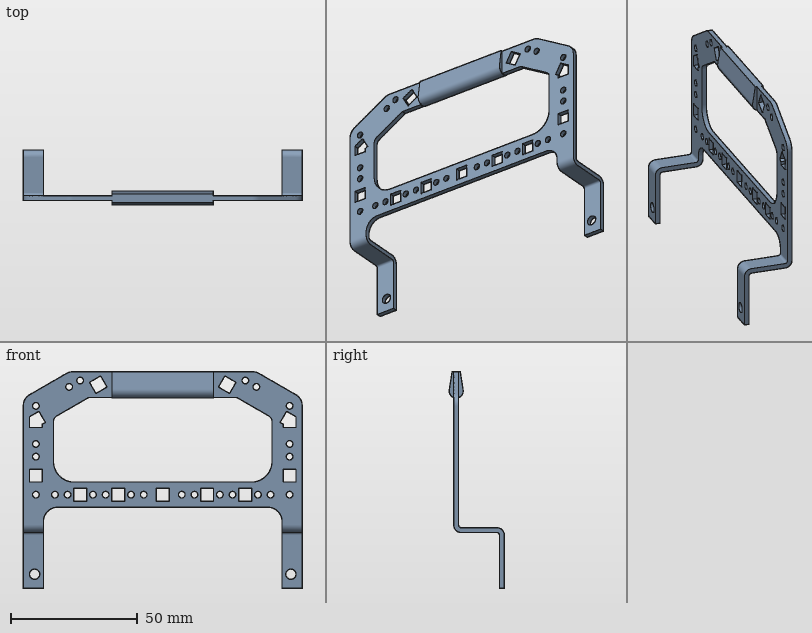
import cadquery as cq
import math

width = 110.0
height = 85.5
pitch = width / 22
half_width = width / 2
sheet = 2.0
depth = 4 * pitch
slope = math.radians(30)

outer_radius = pitch
top_half_width = 36.7
slant_drop = (half_width - top_half_width) * math.tan(slope)
leg_width = 8.0
leg_corner_radius = 5.5
row_height = 37.0
beam_half_height = pitch

shelf_bottom = 22.0
inner_bend = 1.0
outer_bend = inner_bend + sheet

window_half_width = 43.0
top_bar_height = 10.2
window_top = height - top_bar_height
window_bottom = row_height + beam_half_height
window_top_half_width = 29.2
window_slant_drop = (window_half_width - window_top_half_width) * math.tan(slope)
window_bottom_radius = 8.0
window_shoulder_radius = 2.5

column_x = 10 * pitch
small_hole = 2.5
square = pitch
row_hole_steps = [1.5, 2.5, 4.5, 5.5, 7.5, 8.5, 10]
row_square_steps = [0, 3.5, 6.5]
column_hole_steps = [3, 4, 7]
column_square_step = 1.5
slant_hole_count = 2
slant_hole_x = 32.6
slant_hole_z = height - 3.5
slant_square_x = 25.4
slant_square_z = height - 5.2

shoulder_bottom = row_height + 26.5
shoulder_step = 2.0
shoulder_tip_x = 46.3
shoulder_tip_z = shoulder_bottom + shoulder_step

foot_hole = 4.0
foot_hole_x = 50.5
foot_hole_z = 5.6

grip_length = 8 * pitch
grip_top_half = 1.6
grip_width = 5.6
grip_radius = grip_width / 2
grip_height = 10.5


def rounded_outline(plane, corners):
    """Closed outline from (u, v, radius) corners; a radius of 0 keeps the corner sharp."""
    path = None
    for i, (u, v, radius) in enumerate(corners):
        corner = cq.Vector(u, v)
        to_last = (cq.Vector(*corners[i - 1][:2]) - corner).normalized()
        to_next = (cq.Vector(*corners[(i + 1) % len(corners)][:2]) - corner).normalized()
        half_angle = to_last.getAngle(to_next) / 2
        setback = radius / math.tan(half_angle)
        start = corner + to_last * setback
        path = path.lineTo(start.x, start.y) if path else cq.Workplane(plane).moveTo(start.x, start.y)
        if radius:
            end = corner + to_next * setback
            inward = (to_last + to_next).normalized()
            middle = corner + inward * (radius / math.sin(half_angle) - radius)
            path = path.threePointArc((middle.x, middle.y), (end.x, end.y))
    return path.close()


def mirrored(right_side):
    """Complete a symmetric outline from its right-hand corners."""
    return right_side + [(-u, v, radius) for u, v, radius in reversed(right_side)]


def cutter(sketch):
    """Extrude a sketch on the XZ plane right through the part."""
    return sketch.extrude(depth, both=True)


def both_sides(points):
    """Each point together with its mirror image in X = 0."""
    return [(side * x, z) for x, z in points for side in (-1, 1)]


def bent_sheet():
    side_profile = [
        (0, height, 0),
        (0, shelf_bottom, outer_bend),
        (depth - sheet, shelf_bottom, inner_bend),
        (depth - sheet, 0, 0),
        (depth, 0, 0),
        (depth, shelf_bottom + sheet, outer_bend),
        (sheet, shelf_bottom + sheet, inner_bend),
        (sheet, height, 0),
    ]
    leg_inside = half_width - leg_width
    front_outline = mirrored([
        (top_half_width, height, outer_radius),
        (half_width, height - slant_drop, outer_radius),
        (half_width, 0, 0),
        (leg_inside, 0, 0),
        (leg_inside, row_height - beam_half_height, leg_corner_radius),
    ])
    profile = rounded_outline("YZ", side_profile).extrude(half_width, both=True)
    return profile.intersect(cutter(rounded_outline("XZ", front_outline)))


def window():
    return cutter(rounded_outline("XZ", mirrored([
        (window_top_half_width, window_top, 0),
        (window_half_width, window_top - window_slant_drop, window_shoulder_radius),
        (window_half_width, window_bottom, window_bottom_radius),
    ])))


def round_holes():
    points = [(step * pitch, row_height) for step in row_hole_steps]
    points += [(column_x, row_height + step * pitch) for step in column_hole_steps]
    points += [
        (slant_hole_x + i * pitch * math.cos(slope), slant_hole_z - i * pitch * math.sin(slope))
        for i in range(slant_hole_count)
    ]
    small = cq.Workplane("XZ").pushPoints(both_sides(points)).circle(small_hole / 2)
    feet = cq.Workplane("XZ").pushPoints(both_sides([(foot_hole_x, foot_hole_z)])).circle(foot_hole / 2)
    return cutter(small).union(cutter(feet))


def square_holes():
    points = [(0, row_height)]
    points += both_sides([(step * pitch, row_height) for step in row_square_steps if step])
    points += both_sides([(column_x, row_height + column_square_step * pitch)])
    holes = cutter(cq.Workplane("XZ").pushPoints(points).rect(square, square))
    for side in (-1, 1):
        tilted = cutter(cq.Workplane("XZ").rect(square, square))
        tilted = tilted.rotate((0, 0, 0), (0, 1, 0), side * math.degrees(slope))
        holes = holes.union(tilted.translate((side * slant_square_x, 0, slant_square_z)))
    return holes


def shoulder_openings():
    inside_x = column_x - square / 2
    outside_x = column_x + square / 2
    peak_x = shoulder_tip_x + square * math.sin(slope)
    peak_z = shoulder_tip_z + square * math.cos(slope)
    opening = [
        (inside_x, shoulder_bottom),
        (outside_x, shoulder_bottom),
        (outside_x, peak_z - (outside_x - peak_x) * math.tan(slope)),
        (peak_x, peak_z),
        (shoulder_tip_x, shoulder_tip_z),
        (inside_x, shoulder_tip_z - (inside_x - shoulder_tip_x) * math.tan(slope)),
    ]
    right = cutter(cq.Workplane("XZ").polyline(opening).close())
    return right.union(right.mirror("YZ"))


def grip():
    centre_z = height - grip_height + grip_radius
    rise = height - centre_z
    to_top_edge = math.atan2(rise, grip_top_half)
    tangent_angle = to_top_edge - math.acos(grip_radius / math.hypot(rise, grip_top_half))
    tangent_y = grip_radius * math.cos(tangent_angle)
    tangent_z = centre_z + grip_radius * math.sin(tangent_angle)
    section = (
        cq.Workplane("YZ")
        .moveTo(-grip_top_half, height)
        .lineTo(grip_top_half, height)
        .lineTo(tangent_y, tangent_z)
        .threePointArc((0, height - grip_height), (-tangent_y, tangent_z))
        .close()
    )
    return section.extrude(grip_length / 2, both=True).translate((0, sheet / 2, 0))


result = bent_sheet().cut(window()).cut(round_holes()).cut(square_holes()).cut(shoulder_openings())
result = result.union(grip())